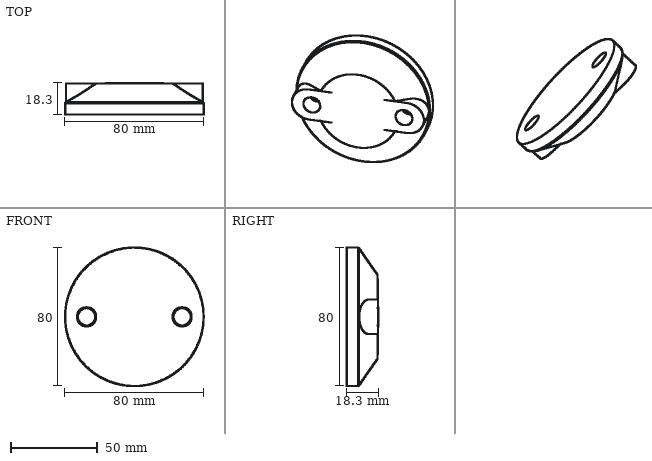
import cadquery as cq
import math

plate_radius = 40.0
rim_height = 6.5
shoulder_height = 7.3
shoulder_radius = 39.5
cone_top_radius = 24.2
cone_top_height = 17.9
bridge_width = 20.0
bridge_end_reach = 39.4
bridge_height = 18.1
total_height = 18.3
hole_offset = 27.5
bore_diameter = 11.0
hole_diameter = 10.0
bore_depth = 4.6


def front_face():
    """Workplane on the front face whose extrusions grow towards +Y."""
    return cq.Workplane(cq.Plane(origin=(0, 0, 0), xDir=(1, 0, 0), normal=(0, 1, 0)))


def make_body():
    """Rim, narrow shoulder, cone and shallow dome, turned about the Y axis."""
    dome_rise = total_height - cone_top_height
    dome_radius = (cone_top_radius**2 + dome_rise**2) / (2 * dome_rise)
    dome_mid_x = cone_top_radius / 2
    dome_mid_y = total_height - dome_radius + math.sqrt(dome_radius**2 - dome_mid_x**2)
    return (
        cq.Workplane("XY")
        .lineTo(plate_radius, 0)
        .lineTo(plate_radius, rim_height)
        .lineTo(shoulder_radius, shoulder_height)
        .lineTo(cone_top_radius, cone_top_height)
        .threePointArc((dome_mid_x, dome_mid_y), (0, total_height))
        .close()
        .revolve(360, (0, 0, 0), (0, 1, 0))
    )


def make_bridge():
    return front_face().slot2D(2 * bridge_end_reach, bridge_width).extrude(bridge_height)


def make_holes(diameter, depth):
    centres = [(-hole_offset, 0), (hole_offset, 0)]
    return front_face().pushPoints(centres).circle(diameter / 2).extrude(depth)


result = make_body().union(make_bridge())
result = result.cut(make_holes(bore_diameter, bore_depth))
result = result.cut(make_holes(hole_diameter, total_height))